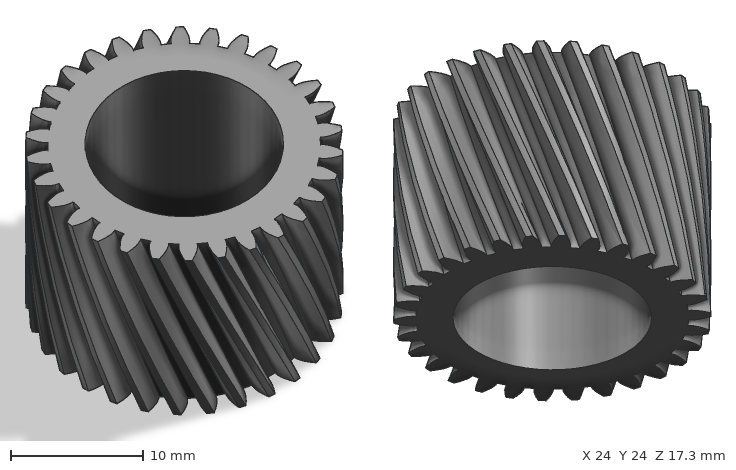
import cadquery as cq
import math

tooth_count = 30
tip_diameter = 24.0
bore_diameter = 15.0
face_width = 17.25
pressure_angle = math.radians(20.0)
helix_angle = math.radians(20.0)
flank_points = 5

dedendum_modules = 1.25
module = tip_diameter / (tooth_count + 2)
tip_radius = tip_diameter / 2
pitch_radius = module * tooth_count / 2
root_radius = pitch_radius - dedendum_modules * module
base_radius = pitch_radius * math.cos(pressure_angle)
tooth_pitch = 2 * math.pi / tooth_count
twist_degrees = math.degrees(face_width * math.tan(helix_angle) / pitch_radius)


def involute(angle):
    """Involute function of a pressure angle."""
    return math.tan(angle) - angle


def half_tooth_angle(radius):
    """Half the angle a tooth spans at a radius on or outside the base circle."""
    local_pressure_angle = math.acos(min(1.0, base_radius / radius))
    return tooth_pitch / 4 + involute(pressure_angle) - involute(local_pressure_angle)


def polar(radius, angle):
    return (radius * math.cos(angle), radius * math.sin(angle))


def gear_outline():
    """Closed tooth outline: radial foot, involute flank, tip arc, flank, foot and root arc."""
    step = (tip_radius - base_radius) / (flank_points - 1)
    flank_radii = [base_radius + step * i for i in range(flank_points)]
    foot_angle = half_tooth_angle(base_radius)
    tip_angle = half_tooth_angle(tip_radius)

    outline = cq.Workplane("XY").moveTo(*polar(root_radius, -foot_angle))
    for tooth in range(tooth_count):
        middle = tooth * tooth_pitch
        rising = [polar(r, middle - half_tooth_angle(r)) for r in flank_radii]
        falling = [polar(r, middle + half_tooth_angle(r)) for r in reversed(flank_radii)]
        next_foot = middle + tooth_pitch - foot_angle

        outline = outline.lineTo(*rising[0])
        outline = outline.spline(rising[1:], includeCurrent=True)
        outline = outline.threePointArc(polar(tip_radius, middle), polar(tip_radius, middle + tip_angle))
        outline = outline.spline(falling[1:], includeCurrent=True)
        outline = outline.lineTo(*polar(root_radius, middle + foot_angle))
        outline = outline.threePointArc(
            polar(root_radius, middle + tooth_pitch / 2), polar(root_radius, next_foot)
        )
    return outline.close()


teeth = gear_outline().twistExtrude(face_width, -twist_degrees)
bore = cq.Workplane("XY").circle(bore_diameter / 2).extrude(face_width)
result = teeth.cut(bore)